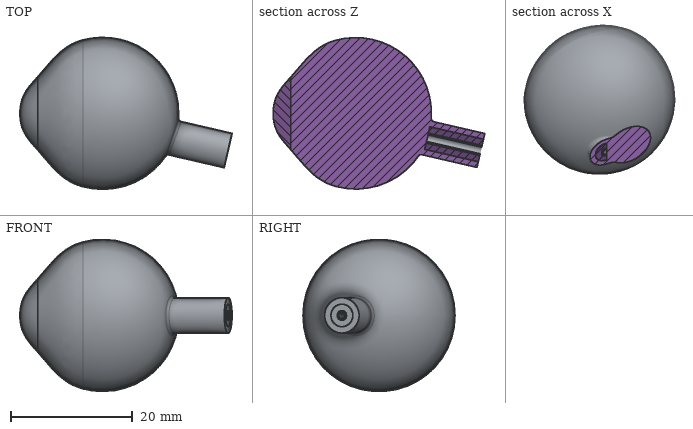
import cadquery as cq
import math

globe_radius = 12.5
shoulder_x = -3.3
shoulder_radius = math.sqrt(globe_radius**2 - shoulder_x**2)

apex_x = -13.6
cornea_rim_x = -10.7
cornea_rim_radius = 5.95
rim_angle = math.radians(48)

stalk_tilt = 13.0
stalk_end_x = 20.63
stalk_end_y = -6.1
sheath_radius = 2.9
sheath_fillet = 0.5
nerve_radius = 1.85
vessel_radius = 0.78
vessel_bore_radius = 0.52

tilt = math.radians(stalk_tilt)
axis_dir = cq.Vector(math.cos(tilt), -math.sin(tilt), 0)
stalk_end = cq.Vector(stalk_end_x, stalk_end_y, 0)

end_along_axis = stalk_end.dot(axis_dir)
axis_offset_squared = stalk_end.dot(stalk_end) - end_along_axis**2
stalk_length = end_along_axis - math.sqrt(globe_radius**2 - axis_offset_squared)

rim_tangent = (math.cos(rim_angle), math.sin(rim_angle))
shoulder_tangent = (shoulder_radius, -shoulder_x)


def stalk_cylinder(radius, length):
    """Solid cylinder on the stalk axis, reaching back from the stalk end."""
    plane = cq.Plane(origin=stalk_end, xDir=(0, 0, 1), normal=axis_dir * -1)
    return cq.Workplane(plane).circle(radius).extrude(length)


def about_x_axis(half_outline):
    """Solid of revolution about the X axis."""
    return half_outline.revolve(360, (0, 0, 0), (1, 0, 0))


def make_sclera():
    """Globe behind the cornea, with the filleted sheath and its nerve bore."""
    globe = about_x_axis(
        cq.Workplane("XY")
        .moveTo(cornea_rim_x, 0)
        .lineTo(cornea_rim_x, cornea_rim_radius)
        .spline(
            [(shoulder_x, shoulder_radius)],
            tangents=[rim_tangent, shoulder_tangent],
            includeCurrent=True,
        )
        .threePointArc((0, globe_radius), (globe_radius, 0))
        .close()
    )
    sheath = stalk_cylinder(sheath_radius, end_along_axis)
    joined = globe.union(sheath)
    root_box = cq.selectors.BoxSelector(
        (globe_radius / 2, -globe_radius / 2, -globe_radius / 2),
        (globe_radius, globe_radius / 2, globe_radius / 2),
    )
    filleted = joined.edges(root_box).edges("not %CIRCLE").fillet(sheath_fillet)
    return filleted.cut(stalk_cylinder(nerve_radius, stalk_length))


def make_cornea():
    """Rounded cap seated on the flat front of the sclera."""
    return about_x_axis(
        cq.Workplane("XY")
        .moveTo(apex_x, 0)
        .spline(
            [(cornea_rim_x, cornea_rim_radius)],
            tangents=[(0, 1), rim_tangent],
            includeCurrent=True,
        )
        .lineTo(cornea_rim_x, 0)
        .close()
    )


def make_nerve():
    """Ring of nerve between the sheath and the vessel."""
    core = stalk_cylinder(vessel_radius, stalk_length)
    return stalk_cylinder(nerve_radius, stalk_length).cut(core)


def make_vessel():
    """Open tube along the middle of the nerve."""
    bore = stalk_cylinder(vessel_bore_radius, stalk_length)
    return stalk_cylinder(vessel_radius, stalk_length).cut(bore)


sclera = make_sclera()
cornea = make_cornea()
nerve = make_nerve()
vessel = make_vessel()

result = cq.Compound.makeCompound([sclera.val(), cornea.val(), nerve.val(), vessel.val()])